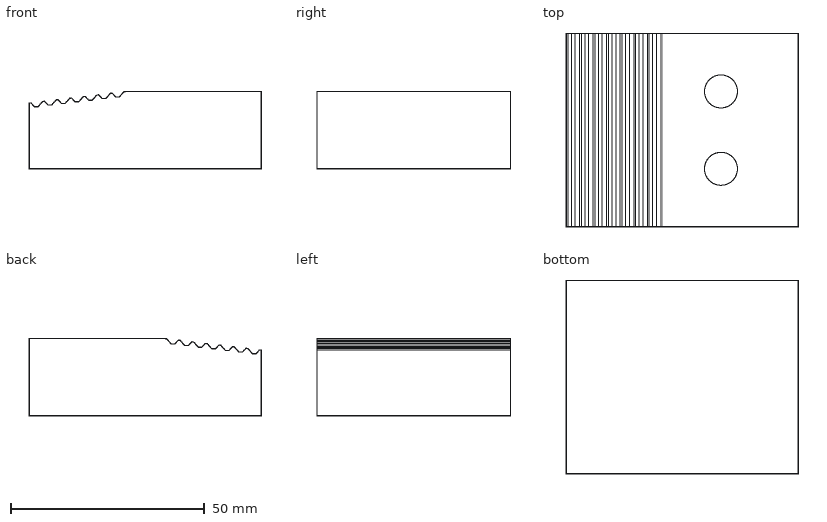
import cadquery as cq

length = 60.0
width = 50.0
height = 20.0

tooth_count = 7
tooth_rise = 0.4
ramp_end = 24.95
first_crest_end = 0.5
tooth_pitch = (ramp_end - first_crest_end) / tooth_count
crest_width = 0.5
crest_climb = 0.05
valley_depth = 0.95
valley_start = 0.9
valley_width = 0.95

hole_diameter = 8.5
hole_x = length * 2 / 3
hole_spacing = height
hole_depth = 12.0
cone_depth = 2.45


def crest_end(index):
    """End point of a crest, counted from the left face of the block."""
    teeth_left = tooth_count - index
    return ramp_end - teeth_left * tooth_pitch, height - teeth_left * tooth_rise


def crest_start(index):
    x, z = crest_end(index)
    return x - crest_width, z - crest_climb


def make_block():
    first_x, first_z = crest_end(0)
    crest_slope = crest_climb / crest_width
    outline = [
        (length, 0),
        (0, 0),
        (0, first_z - first_x * crest_slope),
        (first_x, first_z),
    ]
    for index in range(tooth_count):
        x, z = crest_end(index)
        floor_x = x + valley_start
        floor_z = z - valley_depth
        outline.append((floor_x, floor_z))
        outline.append((floor_x + valley_width, floor_z))
        outline.append(crest_start(index + 1))
        outline.append(crest_end(index + 1))
    outline.append((length, height))
    return cq.Workplane("XZ").polyline(outline).close().extrude(-width)


def make_hole(y):
    """Drill-shaped cutter: a cylinder ending in a cone."""
    radius = hole_diameter / 2
    floor_z = height - hole_depth
    return (
        cq.Workplane("XZ", origin=(hole_x, y, 0))
        .moveTo(0, height)
        .lineTo(radius, height)
        .lineTo(radius, floor_z)
        .lineTo(0, floor_z - cone_depth)
        .close()
        .revolve(360, (0, 0, 0), (0, 1, 0))
    )


result = make_block()
for side in (-1, 1):
    result = result.cut(make_hole(width / 2 + side * hole_spacing / 2))